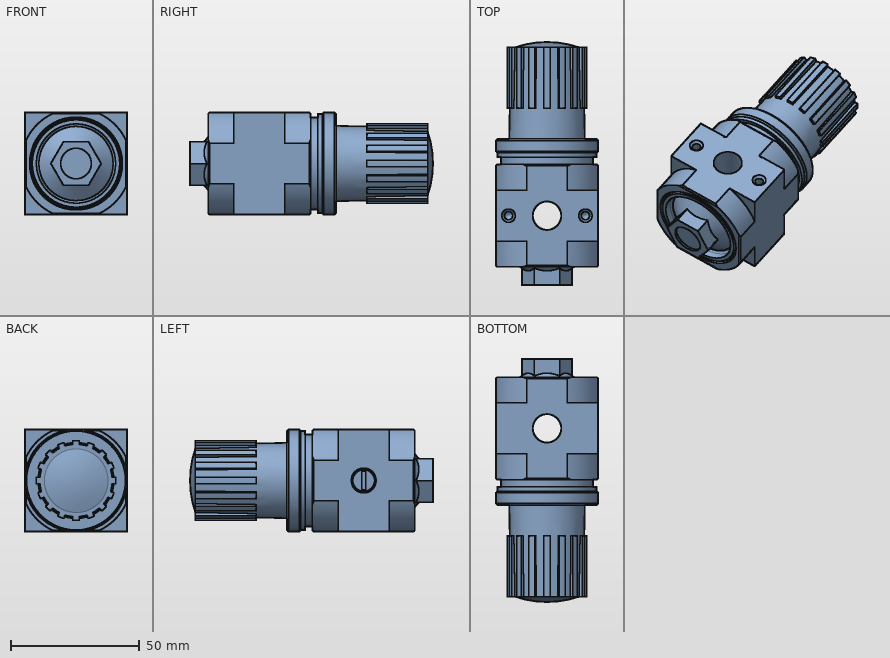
import cadquery as cq
import math


OVERALL_LENGTH = 95.0

BLOCK = 40.0
HALF = BLOCK / 2
END_DIAMETER = 43.0
MID_LENGTH = 20.0
END_CHAMFER = 0.6

PORT_DIAMETER = 11.0
MOUNT_SPACING = 30.0
MOUNT_DIAMETER = 3.2
MOUNT_MOUTH = 5.2
MOUNT_DEPTH = 5.7
MOUNT_TIP_ANGLE = 118

CUP_DIAMETER = 31.0
CUP_WALL_DEPTH = 2.8
CUP_FILLET = 0.9
CUP_DEPTH = CUP_WALL_DEPTH + CUP_FILLET
DOME_DIAMETER = 29.0
DOME_BASE_DEPTH = 3.2
DOME_TOP_HEIGHT = 2.3
DOME_TOP_RADIUS = 7.6
SEAM_OUTER_DIAMETER = 36.3
SEAM_INNER_DIAMETER = 34.1
HEX_FLATS = 17.0
HEX_HEIGHT = 7.1
HEX_RECESS_DIAMETER = 12.0
HEX_RECESS_DEPTH = 0.95

NECK_DIAMETER = 36.0
NECK_LENGTH = 2.85
FLANGE_DIAMETER = 38.8
FLANGE_LENGTH = 1.7
COLLAR_DIAMETER = BLOCK
COLLAR_LENGTH = 5.4
COLLAR_CHAMFER = 0.7
COLLAR_END = HALF + NECK_LENGTH + FLANGE_LENGTH + COLLAR_LENGTH

KNOB_END = OVERALL_LENGTH - HALF - HEX_HEIGHT
CROWN_HEIGHT = 2.1
CROWN_DIAMETER = 24.9
KNOB_BASE_DIAMETER = 29.6
KNOB_TOP_DIAMETER = 28.3
RIB_COUNT = 16
RIB_WIDTH = 2.6
RIB_LENGTH = 23.75
RIB_DIAMETER = 31.2

PLUG_PORT_MOUTH = 9.7
PLUG_FACE_DIAMETER = 8.55
PLUG_DIAMETER = (PLUG_PORT_MOUTH + PLUG_FACE_DIAMETER) / 2
PLUG_LENGTH = 6.0
SLOT_WIDTH = 1.4
SLOT_LENGTH = 7.2
SLOT_DEPTH = 1.5


def turned(points):
    """Solid of revolution about Y from a closed outline of (radius, y) points."""
    return cq.Workplane("XY").polyline(points).close().revolve(360, (0, 0), (0, 1))


def cylinder_y(diameter, y_start, length):
    """Cylinder on the Y axis that runs from y_start toward +Y."""
    return cq.Workplane("XZ", origin=(0, y_start, 0)).circle(diameter / 2).extrude(-length)


def make_block():
    """Cube with rounded corners at both ends and bevelled flats at the end faces."""
    ends = cylinder_y(END_DIAMETER, -HALF, BLOCK)
    bevelled = cq.Workplane("XY").box(BLOCK, BLOCK, BLOCK).faces("<Y or >Y").chamfer(END_CHAMFER)
    middle = cq.Workplane("XY").box(BLOCK, MID_LENGTH, BLOCK)
    return bevelled.intersect(ends).union(middle)


def make_cup_cutter():
    """Round cup sunk into the -Y face, with a rounded floor edge."""
    return cylinder_y(CUP_DIAMETER, -HALF, CUP_DEPTH).faces(">Y").edges().fillet(CUP_FILLET)


def make_dome():
    """Cone that rises from the cup floor and ends inside the hexagon."""
    floor = -HALF + CUP_DEPTH
    return turned([
        (0, floor),
        (DOME_DIAMETER / 2, floor),
        (DOME_DIAMETER / 2, -HALF + DOME_BASE_DEPTH),
        (DOME_TOP_RADIUS, -HALF - DOME_TOP_HEIGHT),
        (0, -HALF - DOME_TOP_HEIGHT),
    ])


def make_hexagon():
    """Hexagonal head with a shallow round recess in its end."""
    corners = HEX_FLATS / math.cos(math.pi / 6)
    end = -HALF - HEX_HEIGHT
    hexagon = cq.Workplane("XZ", origin=(0, end, 0)).polygon(6, corners).extrude(-HEX_HEIGHT)
    return hexagon.cut(cylinder_y(HEX_RECESS_DIAMETER, end, HEX_RECESS_DEPTH))


def make_seam_groove():
    """V-groove around the cup in the -Y face."""
    outer = SEAM_OUTER_DIAMETER / 2
    inner = SEAM_INNER_DIAMETER / 2
    return turned([
        (inner, -HALF),
        (outer, -HALF),
        ((outer + inner) / 2, -HALF + (outer - inner) / 2),
    ])


def make_mount_hole(x):
    """Countersunk blind hole with a drill tip in the +Z face."""
    radius = MOUNT_DIAMETER / 2
    mouth = MOUNT_MOUTH / 2
    tip = radius / math.tan(math.radians(MOUNT_TIP_ANGLE / 2))
    outline = [
        (0, HALF),
        (mouth, HALF),
        (radius, HALF - (mouth - radius)),
        (radius, HALF - MOUNT_DEPTH),
        (0, HALF - MOUNT_DEPTH - tip),
    ]
    hole = cq.Workplane("XZ").polyline(outline).close().revolve(360, (0, 0), (0, 1))
    return hole.translate((x, 0, 0))


def make_plug_port():
    """Blind port in the -X face with a countersunk mouth."""
    mouth_depth = (PLUG_PORT_MOUTH - PLUG_DIAMETER) / 2
    port = cq.Workplane("YZ", origin=(-HALF, 0, 0)).circle(PLUG_DIAMETER / 2).extrude(PLUG_LENGTH)
    mouth = cq.Solid.makeCone(PLUG_PORT_MOUTH / 2, PLUG_DIAMETER / 2, mouth_depth,
                              cq.Vector(-HALF, 0, 0), cq.Vector(1, 0, 0))
    return port.union(cq.Workplane(mouth))


def make_collar():
    """Stepped neck and flange that carry the bevelled collar."""
    neck = cylinder_y(NECK_DIAMETER, HALF, NECK_LENGTH)
    flange = cylinder_y(FLANGE_DIAMETER, HALF + NECK_LENGTH, FLANGE_LENGTH)
    collar = cylinder_y(COLLAR_DIAMETER, COLLAR_END - COLLAR_LENGTH, COLLAR_LENGTH)
    return neck.union(flange).union(collar.edges().chamfer(COLLAR_CHAMFER))


def make_housing():
    """Block with the hexagonal cap, the collar, and all ports and holes."""
    housing = make_block().cut(make_cup_cutter()).cut(make_seam_groove())
    housing = housing.union(make_dome()).union(make_hexagon()).union(make_collar())
    port = cq.Workplane("XY").circle(PORT_DIAMETER / 2).extrude(HALF, both=True)
    housing = housing.cut(port).cut(make_plug_port())
    for side in (-1, 1):
        housing = housing.cut(make_mount_hole(side * MOUNT_SPACING / 2))
    return housing


def make_crown(base_y):
    """Low spherical cap that closes the end of the knob."""
    base_radius = CROWN_DIAMETER / 2
    sphere_radius = (base_radius ** 2 + CROWN_HEIGHT ** 2) / (2 * CROWN_HEIGHT)
    half_angle = math.asin(base_radius / sphere_radius) / 2
    centre_y = base_y + CROWN_HEIGHT - sphere_radius
    arc_middle = (
        sphere_radius * math.sin(half_angle),
        centre_y + sphere_radius * math.cos(half_angle),
    )
    outline = cq.Workplane("XY").moveTo(0, base_y).lineTo(base_radius, base_y)
    outline = outline.threePointArc(arc_middle, (0, base_y + CROWN_HEIGHT)).close()
    return outline.revolve(360, (0, 0), (0, 1))


def make_ribs(start_y):
    """Straight grip ribs, trimmed to one cylinder around the axis."""
    ribs = cylinder_y(KNOB_TOP_DIAMETER, start_y, RIB_LENGTH)
    rib = cq.Workplane("XY").box(RIB_WIDTH, RIB_LENGTH, RIB_DIAMETER, centered=(True, False, False))
    rib = rib.translate((0, start_y, 0))
    for i in range(RIB_COUNT):
        ribs = ribs.union(rib.rotate((0, 0, 0), (0, 1, 0), i * 360 / RIB_COUNT))
    return ribs.intersect(cylinder_y(RIB_DIAMETER, start_y, RIB_LENGTH))


def make_knob():
    """Tapered knob with a low crown and grip ribs."""
    rib_end = KNOB_END - CROWN_HEIGHT
    core = turned([
        (0, COLLAR_END),
        (KNOB_BASE_DIAMETER / 2, COLLAR_END),
        (KNOB_TOP_DIAMETER / 2, rib_end),
        (0, rib_end),
    ])
    return core.union(make_ribs(rib_end - RIB_LENGTH)).union(make_crown(rib_end))


def make_plug():
    """Screw plug flush with the -X face, with a bevelled rim and a screwdriver slot."""
    bevel = (PLUG_DIAMETER - PLUG_FACE_DIAMETER) / 2
    plug = cq.Workplane("YZ", origin=(-HALF, 0, 0)).circle(PLUG_DIAMETER / 2).extrude(PLUG_LENGTH)
    plug = plug.faces("<X").chamfer(bevel)
    slot = cq.Workplane("YZ", origin=(-HALF, 0, 0)).rect(SLOT_WIDTH, SLOT_LENGTH).extrude(SLOT_DEPTH)
    return plug.cut(slot)


housing = make_housing()
knob = make_knob()
plug = make_plug()

result = cq.Compound.makeCompound([housing.val(), knob.val(), plug.val()])